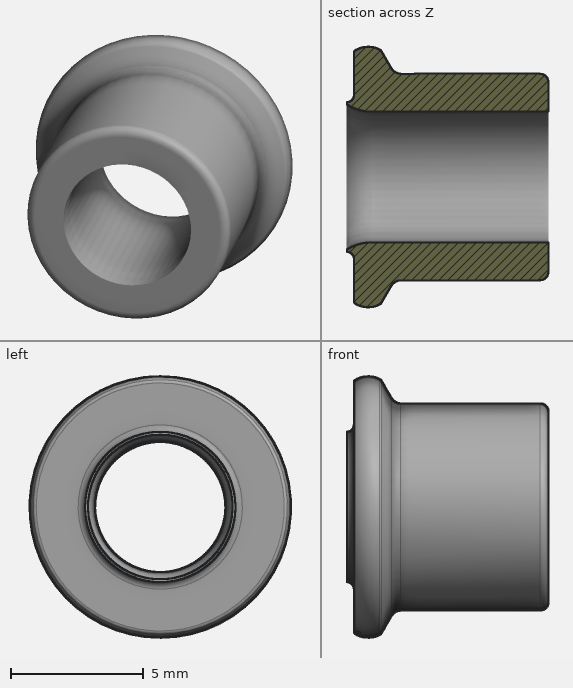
import cadquery as cq
import math

length = 7.59
body_radius = 3.9
bore_radius = 2.45

nose_length = 0.26
nose_radius = 2.83
nose_inner_radius = 2.72
lead_in_length = 0.95

flange_radius = 4.92
crown_radius = 0.9
crown_center_x = 0.8
cone_angle = math.radians(60)
cone_root_x = 1.79

face_round = 0.14
back_round = 0.2
body_fillet = 0.39
end_round = 0.33

lead_in_rise = nose_inner_radius - bore_radius
lead_in_radius = (lead_in_length**2 + lead_in_rise**2) / (2 * lead_in_rise)


def crown_point(angle):
    """Point (x, radius) of the rim crown, at an angle from the radial direction."""
    center_r = flange_radius - crown_radius
    return (
        crown_center_x + crown_radius * math.sin(angle),
        center_r + crown_radius * math.cos(angle),
    )


def crown_face_corner():
    """Corner where the crown runs into the flat front of the flange."""
    return crown_point(math.asin((nose_length - crown_center_x) / crown_radius))


def crown_cone_corner():
    """Corner where the crown runs into the conical back."""
    normal = (math.sin(cone_angle), math.cos(cone_angle))
    offset_x = cone_root_x - crown_center_x
    offset_r = body_radius - (flange_radius - crown_radius)
    distance = offset_x * normal[0] + offset_r * normal[1]
    return crown_point(cone_angle - math.acos(distance / crown_radius))


def bushing_blank():
    """Revolved bushing with sharp outer corners and the rounded bore entry."""
    lead_in_angle = math.acos(1 - lead_in_rise / lead_in_radius) / 2
    lead_in_middle = (
        lead_in_length - lead_in_radius * math.sin(lead_in_angle),
        bore_radius + lead_in_radius * (1 - math.cos(lead_in_angle)),
    )
    profile = (
        cq.Workplane("XZ")
        .moveTo(0, nose_inner_radius)
        .lineTo(0, nose_radius)
        .radiusArc((nose_length, nose_radius + nose_length), -nose_length)
        .lineTo(*crown_face_corner())
        .threePointArc(crown_point(0), crown_cone_corner())
        .lineTo(cone_root_x, body_radius)
        .lineTo(length, body_radius)
        .lineTo(length, bore_radius)
        .lineTo(lead_in_length, bore_radius)
        .threePointArc(lead_in_middle, (0, nose_inner_radius))
        .close()
    )
    return profile.revolve(360, (0, 0, 0), (1, 0, 0))


def circle_edges(blank, x, radius):
    """Circular edge of the blank centred on the X axis at the given place."""
    tolerance = 0.001
    return blank.edges(
        cq.selectors.BoxSelector(
            (x - tolerance, -radius - tolerance, -radius - tolerance),
            (x + tolerance, radius + tolerance, radius + tolerance),
            boundingbox=True,
        )
    ).edges(cq.selectors.RadiusNthSelector(-1))


def round_corners(blank):
    """Round the crown borders, the root of the cone and the plain end."""
    corners = [
        (*crown_face_corner(), face_round),
        (*crown_cone_corner(), back_round),
        (cone_root_x, body_radius, body_fillet),
        (length, body_radius, end_round),
    ]
    for x, radius, round_radius in corners:
        blank = circle_edges(blank, x, radius).fillet(round_radius)
    return blank


result = round_corners(bushing_blank())